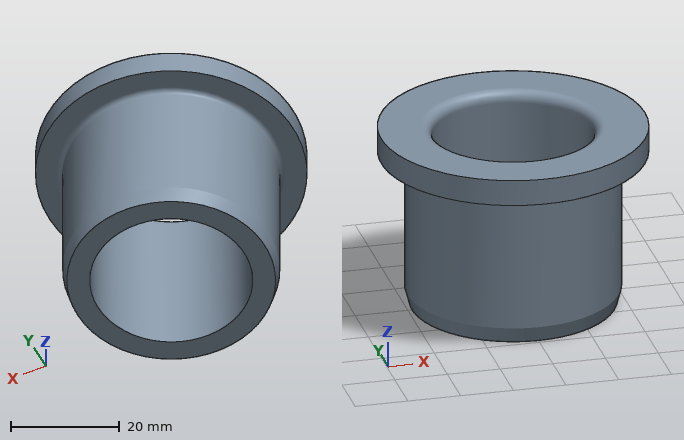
import cadquery as cq
import math

total_height = 35.0
flange_diameter = 50.0
flange_thickness = 5.0
body_diameter = 40.0
bore_diameter = 30.0

bore_rounding = 2.0
neck_fillet = 1.0
lead_in_height = 3.0
lead_in_angle = 15.0

flange_radius = flange_diameter / 2
body_radius = body_diameter / 2
bore_radius = bore_diameter / 2
flange_underside = total_height - flange_thickness
lead_in_inset = lead_in_height * math.tan(math.radians(lead_in_angle))


def revolved_bushing():
    """Revolve the wall section, drawn as (radius, height), around the Z axis."""
    section = (
        cq.Workplane("XZ")
        .moveTo(bore_radius, 0)
        .lineTo(body_radius - lead_in_inset, 0)
        .lineTo(body_radius, lead_in_height)
        .lineTo(body_radius, flange_underside - neck_fillet)
        .radiusArc((body_radius + neck_fillet, flange_underside), neck_fillet)
        .lineTo(flange_radius, flange_underside)
        .lineTo(flange_radius, total_height)
        .lineTo(bore_radius + bore_rounding, total_height)
        .radiusArc((bore_radius, total_height - bore_rounding), -bore_rounding)
        .close()
    )
    return section.revolve(360, (0, 0, 0), (0, 1, 0))


result = revolved_bushing()